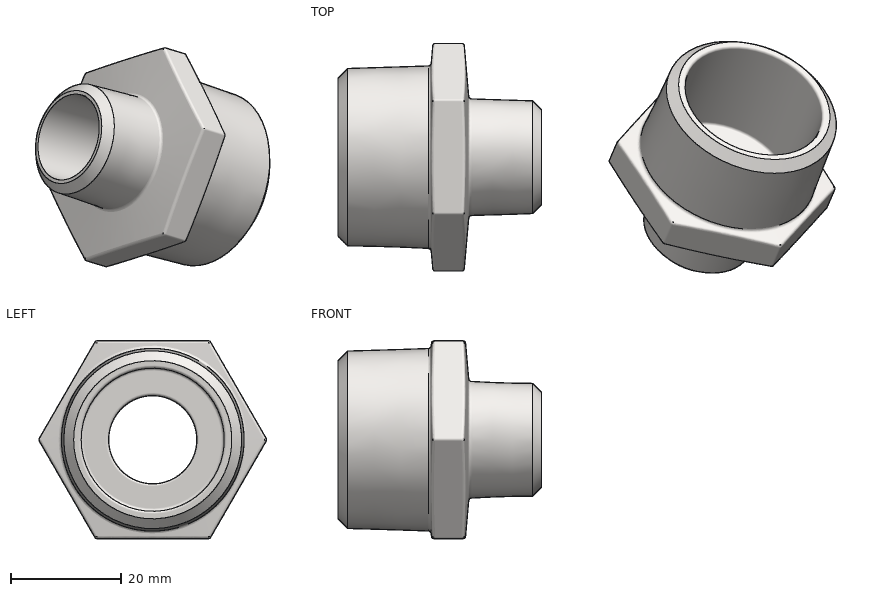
import cadquery as cq
import math

length = 37.0
edge_radius = 0.5

across_flats = 36.0
corner_radius = across_flats / math.sqrt(3)
hex_left = 17.3
hex_right = 22.9
face_slope = math.tan(math.radians(5))

taper = 1 / 32
large_tip_radius = 16.15
large_chamfer = 1.8
large_taper_end = 16.4
small_tip_radius = 10.25
small_chamfer = 1.6
small_taper_end = 24.5
large_root_radius = large_tip_radius + taper * (large_taper_end - large_chamfer)
small_root_radius = small_tip_radius + taper * (length - small_chamfer - small_taper_end)

large_bore_radius = 13.0
small_bore_radius = 8.0
large_bore_depth = 20.7

match_tolerance = 0.005


def revolve_about_x(points):
    """Revolve a closed (x, radius) outline about the X axis."""
    return cq.Workplane("XY").polyline(points).close().revolve(360, (0, 0, 0), (1, 0, 0))


def hex_flange():
    """Hexagon with corners on +Y and -Y, trimmed by two shallow cones and rounded on all edges."""
    blank_radius = corner_radius + edge_radius
    rise = blank_radius * face_slope
    cones = revolve_about_x([
        (hex_left, blank_radius),
        (hex_left - rise, 0),
        (hex_right + rise, 0),
        (hex_right, blank_radius),
    ])
    prism = (
        cq.Workplane("YZ")
        .polygon(6, 2 * corner_radius)
        .extrude(length)
        .edges("|X")
        .fillet(edge_radius)
    )
    return prism.intersect(cones).edges("not |X").fillet(edge_radius)


def pipe_ends():
    """Chamfered, tapered outer ends, solid, joined through the flange."""
    large_end = revolve_about_x([
        (0, 0),
        (0, large_tip_radius - large_chamfer),
        (large_chamfer, large_tip_radius),
        (large_taper_end, large_root_radius),
        (hex_left, large_root_radius),
        (hex_left, 0),
    ])
    small_end = revolve_about_x([
        (hex_left, 0),
        (hex_left, small_root_radius),
        (small_taper_end, small_root_radius),
        (length - small_chamfer, small_tip_radius),
        (length, small_tip_radius - small_chamfer),
        (length, 0),
    ])
    return large_end.union(small_end)


def stepped_bore():
    """Wide bore from the large end, narrow bore the rest of the way, rounded where they meet."""
    wide = (
        cq.Workplane("YZ")
        .circle(large_bore_radius)
        .extrude(large_bore_depth)
        .faces(">X")
        .edges()
        .fillet(edge_radius)
    )
    narrow = cq.Workplane("YZ").circle(small_bore_radius).extrude(length)
    return wide.union(narrow)


def fillet_circle(shape, radius, near_x):
    """Fillet the circular edge of the given radius that lies closest to an X position."""
    circles = [edge for edge in shape.edges("%CIRCLE").vals() if abs(edge.radius() - radius) < match_tolerance]
    nearest = min(circles, key=lambda edge: abs(edge.Center().x - near_x))
    return shape.newObject([nearest]).fillet(edge_radius)


body = hex_flange().union(pipe_ends())

body = fillet_circle(body, large_root_radius, hex_left)
body = fillet_circle(body, small_root_radius, hex_right)

body = body.cut(stepped_bore())
body = fillet_circle(body, large_bore_radius, 0)
body = fillet_circle(body, small_bore_radius, large_bore_depth)

result = body